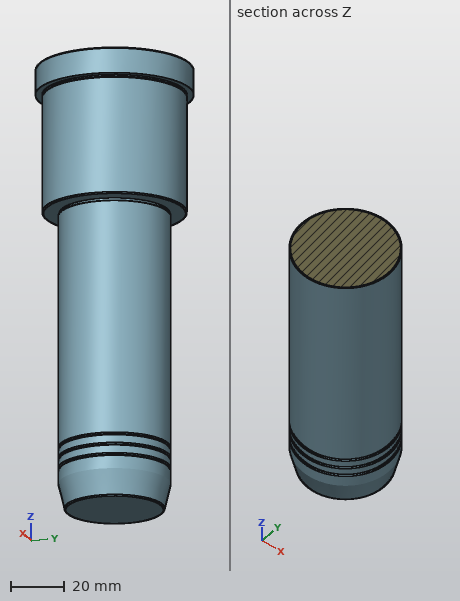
import cadquery as cq

total_length = 171.0
head_height = 10.0
body_length = 46.0
tip_length = 10.0

head_radius = 59.0 / 2
body_radius = 54.0 / 2
shaft_radius = 42.0 / 2
tip_radius = 37.4 / 2

edge_chamfer = 0.5

relief_width = 1.0
relief_depth = 0.4

groove_width = 1.0
groove_depth = 0.5
oil_groove_count = 3
oil_groove_pitch = 4.0
lowest_oil_groove_height = 15.5

head_underside = total_length - head_height
body_underside = head_underside - body_length


def make_pin():
    """Revolve the half profile (radius, height) of the stepped pin."""
    return (
        cq.Workplane("XZ")
        .lineTo(tip_radius - edge_chamfer, 0)
        .lineTo(tip_radius, edge_chamfer)
        .lineTo(shaft_radius, tip_length)
        .lineTo(shaft_radius, body_underside - relief_width)
        .lineTo(shaft_radius - relief_depth, body_underside - relief_width)
        .lineTo(shaft_radius - relief_depth, body_underside)
        .lineTo(body_radius - edge_chamfer, body_underside)
        .lineTo(body_radius, body_underside + edge_chamfer)
        .lineTo(body_radius, head_underside)
        .lineTo(head_radius, head_underside)
        .lineTo(head_radius, total_length - edge_chamfer)
        .lineTo(head_radius - edge_chamfer, total_length)
        .lineTo(0, total_length)
        .close()
        .revolve(360, (0, 0, 0), (0, 1, 0))
    )


def groove_cutter(surface_radius, center_height):
    """V-section ring that cuts one groove into a cylinder of the given radius."""
    return (
        cq.Workplane("XZ")
        .moveTo(surface_radius, center_height - groove_width / 2)
        .lineTo(surface_radius - groove_depth, center_height)
        .lineTo(surface_radius, center_height + groove_width / 2)
        .close()
        .revolve(360, (0, 0, 0), (0, 1, 0))
    )


def cut_head_groove(pin):
    """Groove in the body with its upper edge against the underside of the head."""
    return pin.cut(groove_cutter(body_radius, head_underside - groove_width / 2))


def cut_oil_grooves(pin):
    """Evenly spaced grooves around the lower shaft."""
    for index in range(oil_groove_count):
        height = lowest_oil_groove_height + index * oil_groove_pitch
        pin = pin.cut(groove_cutter(shaft_radius, height))
    return pin


result = make_pin()
result = cut_head_groove(result)
result = cut_oil_grooves(result)